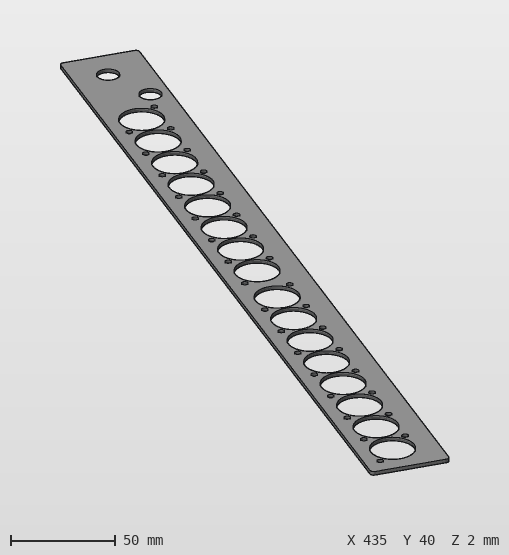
import cadquery as cq

LENGTH = 435.0
WIDTH = 40.0
THICKNESS = 2.0
CORNER_RADIUS = 2.0
LEFT_EDGE = -LENGTH / 2

OPENING_DIAMETER = 22.0
ROW_Y = -2.25
PITCH = 23.0
GROUP_COUNT = 2
OPENINGS_PER_GROUP = 8
GROUP_SPACING = 28.0
FIRST_OPENING_X = LEFT_EDGE + 66.0
GROUP_STEP = (OPENINGS_PER_GROUP - 1) * PITCH + GROUP_SPACING

SCREW_DIAMETER = 3.2
SCREW_OFFSET_X = 9.85
SCREW_OFFSET_Y = 9.9

END_HOLE_DIAMETER = 11.1
END_HOLE_CENTERS = [
    (LEFT_EDGE + 18.5, -2.0),
    (LEFT_EDGE + 43.75, 10.25),
]


def make_plate():
    """Flat plate centred on the origin with rounded corners."""
    plate = cq.Workplane("XY").box(LENGTH, WIDTH, THICKNESS)
    return plate.edges("|Z").fillet(CORNER_RADIUS)


def opening_centers():
    """Centres of all connector openings from -X to +X."""
    return [
        (FIRST_OPENING_X + group * GROUP_STEP + index * PITCH, ROW_Y)
        for group in range(GROUP_COUNT)
        for index in range(OPENINGS_PER_GROUP)
    ]


def screw_centers():
    """Upper-left and lower-right screw hole beside every opening."""
    return [
        (x + side * SCREW_OFFSET_X, y - side * SCREW_OFFSET_Y)
        for x, y in opening_centers()
        for side in (-1, 1)
    ]


def hole_cutters(centers, diameter):
    """Cylinders that reach beyond both faces of the plate."""
    circles = cq.Workplane("XY").pushPoints(centers).circle(diameter / 2)
    return circles.extrude(THICKNESS, both=True)


result = (
    make_plate()
    .cut(hole_cutters(opening_centers(), OPENING_DIAMETER))
    .cut(hole_cutters(screw_centers(), SCREW_DIAMETER))
    .cut(hole_cutters(END_HOLE_CENTERS, END_HOLE_DIAMETER))
)